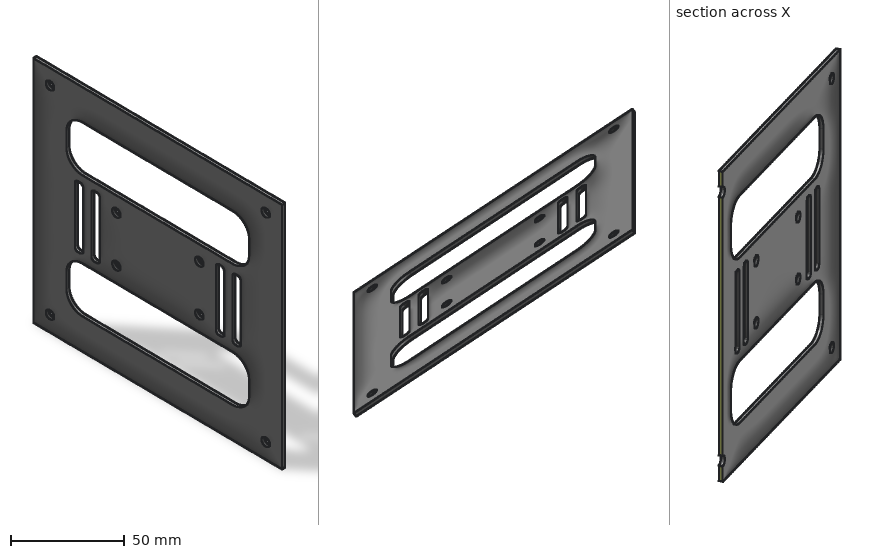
import cadquery as cq

plate_side = 150.0
plate_thickness = 2.0
grid = plate_side / 15

hole_diameter = 5.0
corner_hole_spacing = plate_side - 2 * grid
center_hole_spacing_x = 5 * grid
center_hole_spacing_z = 3 * grid

window_width = 11 * grid
window_height = 3 * grid
window_corner_radius = grid
window_offset_z = 4 * grid

slot_length = 4 * grid
slot_width = grid / 2
slot_corner_radius = 2.0
inner_slot_x = 37.5
outer_slot_x = inner_slot_x + grid


def make_plate():
    return cq.Workplane("XZ").rect(plate_side, plate_side).extrude(plate_thickness / 2, both=True)


def make_holes(spacing_x, spacing_z):
    """Four round cutters on the corners of a centred rectangle."""
    return (
        cq.Workplane("XZ")
        .rect(spacing_x, spacing_z, forConstruction=True)
        .vertices()
        .circle(hole_diameter / 2)
        .extrude(plate_thickness, both=True)
    )


def make_rounded_openings(centers, width, height, corner_radius):
    """Rectangular cutters with rounded corners, one at each centre."""
    return (
        cq.Workplane("XZ")
        .pushPoints(centers)
        .rect(width, height)
        .extrude(plate_thickness, both=True)
        .edges("|Y")
        .fillet(corner_radius)
    )


window_centers = [(0, side * window_offset_z) for side in (-1, 1)]
slot_centers = [(side * x, 0) for side in (-1, 1) for x in (inner_slot_x, outer_slot_x)]

result = (
    make_plate()
    .cut(make_holes(corner_hole_spacing, corner_hole_spacing))
    .cut(make_holes(center_hole_spacing_x, center_hole_spacing_z))
    .cut(make_rounded_openings(window_centers, window_width, window_height, window_corner_radius))
    .cut(make_rounded_openings(slot_centers, slot_width, slot_length, slot_corner_radius))
)